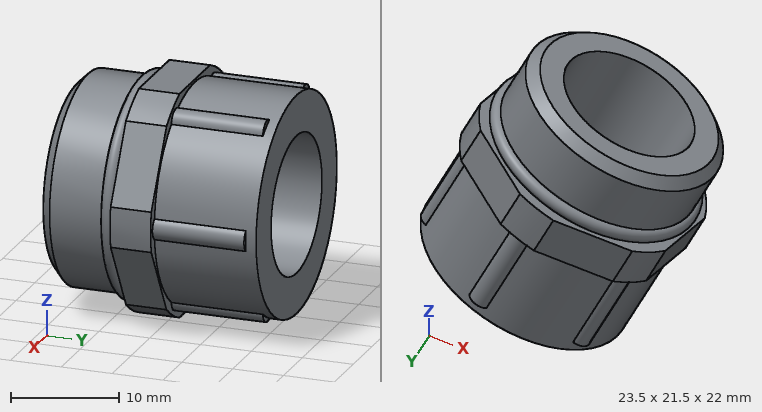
import cadquery as cq

total_length = 21.5
bore_diameter = 13.51

spigot_diameter = 20.4
spigot_chamfer = 1.0
spigot_length = 7.5

hex_across_flats = 22.0
hex_rounding_diameter = 23.45
hex_length = 3.99

ring_diameter = 21.82
ring_width = 1.4
ring_root_depth = 0.47

body_diameter = 21.5
rib_count = 6
rib_radius = 1.22
rib_tip_radius = 11.24
rib_setback = 1.0

front_end = -total_length / 2
hex_front = front_end + spigot_length
hex_back = hex_front + hex_length
back_end = total_length / 2


def section_plane(y):
    """Plane across the axis at y, facing +Y with its local x along X."""
    return cq.Workplane(cq.Plane(origin=(0, y, 0), xDir=(1, 0, 0), normal=(0, 1, 0)))


def disc(diameter, start, end):
    return section_plane(start).circle(diameter / 2).extrude(end - start)


def make_spigot():
    return disc(spigot_diameter, front_end, hex_front).faces("<Y").chamfer(spigot_chamfer)


def make_hexagon():
    """Hexagon with flats on +Z and -Z, its corners turned to a cylinder."""
    hexagon = disc(hex_rounding_diameter, hex_front, hex_back)
    for angle in (0, 60, 120):
        slab = (
            section_plane(hex_front)
            .transformed(rotate=(0, 0, angle))
            .rect(2 * hex_rounding_diameter, hex_across_flats)
            .extrude(hex_length)
        )
        hexagon = hexagon.intersect(slab)
    return hexagon


def make_sealing_ring():
    """Half-round bead on the spigot, seated against the front of the hexagon."""
    spigot_radius = spigot_diameter / 2
    core_radius = spigot_radius - ring_root_depth
    ring_front = hex_front - ring_width
    return (
        cq.Workplane("XY")
        .moveTo(core_radius, hex_front)
        .lineTo(spigot_radius, hex_front)
        .threePointArc((ring_diameter / 2, hex_front - ring_width / 2), (spigot_radius, ring_front))
        .lineTo(core_radius, ring_front)
        .close()
        .revolve(360, (0, 0), (0, 1))
    )


def make_ribs():
    """Round ribs partly sunk in the body, evenly spaced from +X."""
    return (
        section_plane(hex_back)
        .polarArray(rib_tip_radius - rib_radius, 0, 360, rib_count)
        .circle(rib_radius)
        .extrude(back_end - rib_setback - hex_back)
    )


bore = disc(bore_diameter, front_end, back_end)

result = (
    make_spigot()
    .union(make_hexagon())
    .union(make_sealing_ring())
    .union(disc(body_diameter, hex_back, back_end))
    .union(make_ribs())
    .cut(bore)
)